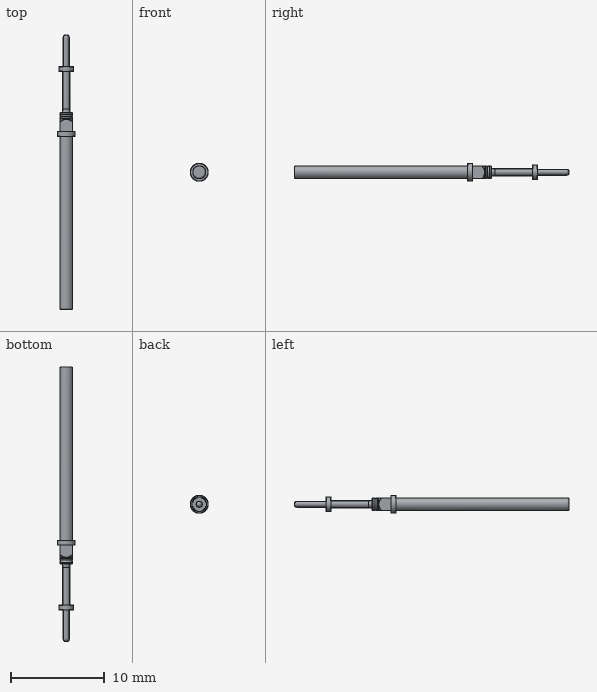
import cadquery as cq

length = 29.3
tip_y = length / 2

tip_diameter = 0.65
rod_diameter = 0.8
neck_diameter = 0.75
neck_base_diameter = 0.85
collar_diameter = 1.55
barrel_diameter = 1.38
flange_diameter = 1.9

collar_start = 3.4
collar_end = 3.9
neck_start = 7.88
neck_end = 8.25
ring_start = 8.32
groove_start = 8.47
groove_bottom = 8.7
groove_end = 8.85
cone_start = 9.0
flange_start = 10.28
flange_end = 10.8

tip_round = 0.3
end_round = 0.18
groove_depth = 0.1

block_width = barrel_diameter
cone_end = cone_start + (flange_diameter - barrel_diameter) / 2


def turned_body():
    """Revolve the stepped outline, listed as (radius, distance from the tip), about Y."""
    tip_radius = tip_diameter / 2
    rod_radius = rod_diameter / 2
    collar_radius = collar_diameter / 2
    barrel_radius = barrel_diameter / 2
    flange_radius = flange_diameter / 2
    outline = [
        (0, 0),
        (tip_radius, 0),
        (tip_radius, collar_start),
        (collar_radius, collar_start),
        (collar_radius, collar_end),
        (rod_radius, collar_end),
        (rod_radius, neck_start),
        (neck_diameter / 2, neck_start),
        (neck_base_diameter / 2, neck_end),
        (barrel_radius, ring_start),
        (barrel_radius, groove_start),
        (barrel_radius - groove_depth, groove_bottom),
        (barrel_radius, groove_end),
        (barrel_radius, cone_start),
        (flange_radius, cone_end),
        (flange_radius, flange_end),
        (barrel_radius, flange_end),
        (barrel_radius, length),
        (0, length),
    ]
    points = [(tip_y - distance, radius) for radius, distance in outline]
    body = cq.Workplane("YZ").polyline(points).close().revolve(360, (0, 0, 0), (1, 0, 0))
    body = body.faces(">Y").edges().fillet(tip_round)
    return body.faces("<Y").edges().fillet(end_round)


def span_box(width, height, start, end):
    """A box centred on the Y axis between two distances from the tip."""
    middle_y = tip_y - (start + end) / 2
    return cq.Workplane("XY").box(width, end - start, height).translate((0, middle_y, 0))


def block_flats():
    """Material outside the square block, between the cone and the flange."""
    blank = span_box(flange_diameter, flange_diameter, cone_start, flange_start)
    return blank.cut(span_box(block_width, block_width, cone_start, flange_start))


result = turned_body().cut(block_flats())